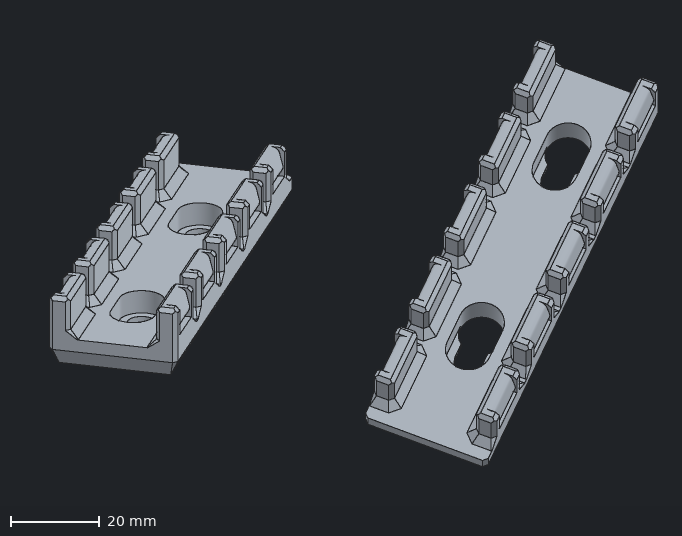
import cadquery as cq
import math

LENGTH = 100.0
WIDTH = 30.0
FLOOR_TOP = 7.0
CORNER_CHAMFER = 1.0
BEVEL_HEIGHT = 4.0
BEVEL_INSET = 2.0

HEIGHT = 17.0
TOOTH_COUNT = 5
TOOTH_PITCH = LENGTH / TOOTH_COUNT
TOOTH_LENGTH = 15.0
TOOTH_THICKNESS = 5.0
FIRST_TOOTH_Y = (TOOTH_LENGTH - LENGTH) / 2
FOOT_HEIGHT = 2.0
FOOT_SPREAD = 2.0
FOOT_TOP = FLOOR_TOP + FOOT_HEIGHT

RECESS_LENGTH = 10.0
RECESS_DEPTH = 3.0
RECESS_FLOOR = 10.0
LIP_INSET = 0.4
LIP_BOTTOM = 11.9
LIP_TOP = 12.5
LIP_RADIUS = 1.9

KEYHOLE_COUNT = 2
KEYHOLE_PITCH = 50.0
NECK_DIAMETER = 6.4
HEAD_DIAMETER = 10.3
HEAD_DROP = 7.5
SHOULDER_TOP = 1.5


def rectangle_points(width, length, z):
    """Corners of a centred rectangle, anticlockwise from the +X +Y one."""
    x = width / 2
    y = length / 2
    return [cq.Vector(x, y, z), cq.Vector(-x, y, z), cq.Vector(-x, -y, z), cq.Vector(x, -y, z)]


def octagon_points(width, length, corner, z):
    """Centred rectangle with cut corners, anticlockwise, two points for each corner."""
    x = width / 2
    y = length / 2
    return [
        cq.Vector(x, y - corner, z),
        cq.Vector(x - corner, y, z),
        cq.Vector(corner - x, y, z),
        cq.Vector(-x, y - corner, z),
        cq.Vector(-x, corner - y, z),
        cq.Vector(corner - x, -y, z),
        cq.Vector(x - corner, -y, z),
        cq.Vector(x, corner - y, z),
    ]


def polygon_wire(points):
    return cq.Wire.makePolygon(points, close=True)


def polygon_face(points):
    return cq.Face.makeFromWires(polygon_wire(points))


def make_bevel():
    """Bevelled underside: a rectangle below widening to the cut-corner outline above."""
    lower = rectangle_points(WIDTH - 2 * BEVEL_INSET, LENGTH - 2 * BEVEL_INSET, 0)
    upper = octagon_points(WIDTH, LENGTH, CORNER_CHAMFER, BEVEL_HEIGHT)
    faces = [polygon_face(lower), polygon_face(upper)]
    for i, corner in enumerate(lower):
        cut_start = upper[2 * i]
        cut_end = upper[2 * i + 1]
        next_corner = lower[(i + 1) % len(lower)]
        next_cut_start = upper[(2 * i + 2) % len(upper)]
        faces.append(polygon_face([corner, cut_start, cut_end]))
        faces.append(polygon_face([corner, cut_end, next_cut_start, next_corner]))
    return cq.Workplane(cq.Solid.makeSolid(cq.Shell.makeShell(faces)))


def make_prism(top):
    """Straight-sided body between the bevel and the given height."""
    outline = polygon_wire(octagon_points(WIDTH, LENGTH, CORNER_CHAMFER, BEVEL_HEIGHT))
    return cq.Workplane(cq.Solid.extrudeLinear(outline, [], cq.Vector(0, 0, top - BEVEL_HEIGHT)))


def make_recess():
    """Cutter for one recess, with the outer face of the tooth at X = 0 and the tooth towards +X."""
    centre_x = RECESS_DEPTH
    centre_z = HEIGHT - LIP_RADIUS
    edge_run = centre_x - LIP_INSET
    edge_drop = centre_z - LIP_TOP
    edge_angle = math.pi + math.atan2(edge_drop, edge_run)
    tangent_angle = edge_angle - math.acos(LIP_RADIUS / math.hypot(edge_run, edge_drop))
    top_angle = math.pi / 2

    def on_arc(angle):
        return centre_x + LIP_RADIUS * math.cos(angle), centre_z + LIP_RADIUS * math.sin(angle)

    return (
        cq.Workplane("XZ")
        .moveTo(0, RECESS_FLOOR)
        .lineTo(RECESS_DEPTH, RECESS_FLOOR)
        .lineTo(RECESS_DEPTH, LIP_BOTTOM)
        .lineTo(LIP_INSET, LIP_BOTTOM)
        .lineTo(LIP_INSET, LIP_TOP)
        .lineTo(*on_arc(tangent_angle))
        .threePointArc(on_arc((tangent_angle + top_angle) / 2), on_arc(top_angle))
        .lineTo(0, HEIGHT)
        .close()
        .extrude(RECESS_LENGTH / 2, both=True)
    )


def make_foot():
    """Foot whose eight sides all spread outwards by the same amount down to the floor."""
    lower_corner = CORNER_CHAMFER + (2 - math.sqrt(2)) * FOOT_SPREAD
    lower_thickness = TOOTH_THICKNESS + 2 * FOOT_SPREAD
    lower_length = TOOTH_LENGTH + 2 * FOOT_SPREAD
    lower = octagon_points(lower_thickness, lower_length, lower_corner, FLOOR_TOP)
    upper = octagon_points(TOOTH_THICKNESS, TOOTH_LENGTH, CORNER_CHAMFER, FOOT_TOP)
    return cq.Workplane(cq.Solid.makeLoft([polygon_wire(lower), polygon_wire(upper)], True))


def make_left_tooth():
    """Tooth for the -X side at Y = 0, with its foot and recess."""
    block = (
        cq.Workplane("XY")
        .workplane(offset=FLOOR_TOP)
        .rect(TOOTH_THICKNESS, TOOTH_LENGTH)
        .extrude(HEIGHT - FLOOR_TOP)
    )
    upright_chamfered = block.edges("|Z").chamfer(CORNER_CHAMFER)
    top_chamfered = block.faces(">Z").chamfer(CORNER_CHAMFER)
    tooth = upright_chamfered.intersect(top_chamfered).union(make_foot())
    outer_face_x = -WIDTH / 2
    recess = make_recess().translate((outer_face_x, 0, 0))
    return tooth.translate((outer_face_x + TOOTH_THICKNESS / 2, 0, 0)).cut(recess)


def make_keyhole():
    """Keyhole cutter with its neck at the origin and its head towards -Y."""
    def slot(diameter, bottom):
        return (
            cq.Workplane("XY")
            .workplane(offset=bottom)
            .center(0, -HEAD_DROP / 2)
            .slot2D(HEAD_DROP + diameter, diameter, 90)
            .extrude(FLOOR_TOP - bottom)
        )

    head = cq.Workplane("XY").center(0, -HEAD_DROP).circle(HEAD_DIAMETER / 2).extrude(FLOOR_TOP)
    neck = slot(NECK_DIAMETER, 0)
    screw_head_slot = slot(HEAD_DIAMETER, SHOULDER_TOP)
    return head.union(neck).union(screw_head_slot)



result = make_bevel().union(make_prism(FLOOR_TOP))

envelope = make_prism(HEIGHT)
left_tooth = make_left_tooth()
right_tooth = left_tooth.mirror("YZ")
for index in range(TOOTH_COUNT):
    tooth_y = FIRST_TOOTH_Y + index * TOOTH_PITCH
    for tooth in (left_tooth, right_tooth):
        result = result.union(tooth.translate((0, tooth_y, 0)).intersect(envelope))

keyhole = make_keyhole()
for index in range(KEYHOLE_COUNT):
    neck_y = KEYHOLE_PITCH * (index - (KEYHOLE_COUNT - 1) / 2)
    result = result.cut(keyhole.translate((0, neck_y, 0)))